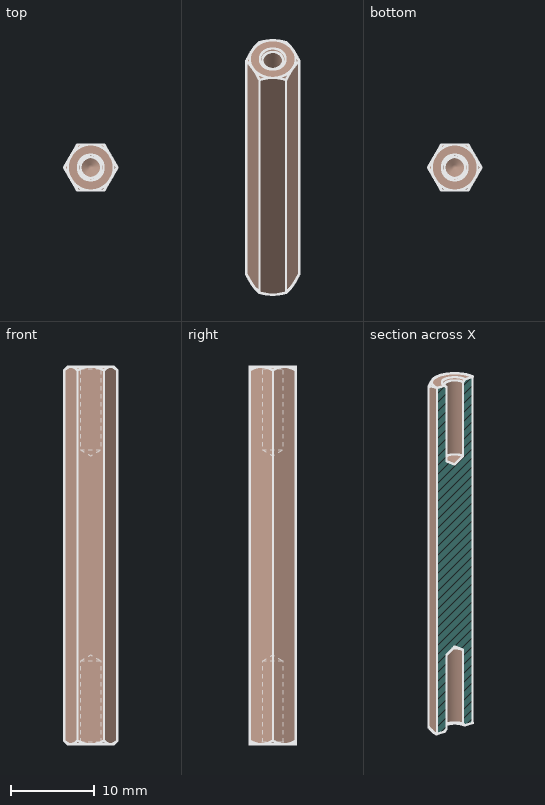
import cadquery as cq
import math

length = 45.0
across_flats = 5.5
across_corners = across_flats / math.cos(math.radians(30))

end_face_diameter = across_flats
chamfer_angle = 45.0
bar_clearance = 0.45

hole_diameter = 2.48
hole_depth = 9.9
mouth_diameter = 3.05
drill_point_angle = 118.0


def hex_body():
    return cq.Workplane("XY").polygon(6, across_corners).extrude(length / 2, both=True)


def chamfer_envelope():
    """Round bar with conical ends; its overlap with the hexagon is the chamfered body."""
    half = length / 2
    bar_radius = across_corners / 2 + bar_clearance
    face_radius = end_face_diameter / 2
    cone_height = (bar_radius - face_radius) * math.tan(math.radians(chamfer_angle))
    return (
        cq.Workplane("XZ")
        .moveTo(0, -half)
        .lineTo(face_radius, -half)
        .lineTo(bar_radius, -half + cone_height)
        .lineTo(bar_radius, half - cone_height)
        .lineTo(face_radius, half)
        .lineTo(0, half)
        .close()
        .revolve(360, (0, 0), (0, 1))
    )


def top_hole():
    """Countersunk blind hole entering from the top face."""
    top = length / 2
    radius = hole_diameter / 2
    mouth_radius = mouth_diameter / 2
    mouth_depth = mouth_radius - radius
    point_height = radius / math.tan(math.radians(drill_point_angle / 2))
    return (
        cq.Workplane("XZ")
        .moveTo(0, top)
        .lineTo(mouth_radius, top)
        .lineTo(radius, top - mouth_depth)
        .lineTo(radius, top - hole_depth)
        .lineTo(0, top - hole_depth - point_height)
        .close()
        .revolve(360, (0, 0), (0, 1))
    )


hole = top_hole()
result = hex_body().intersect(chamfer_envelope()).cut(hole).cut(hole.mirror("XY"))